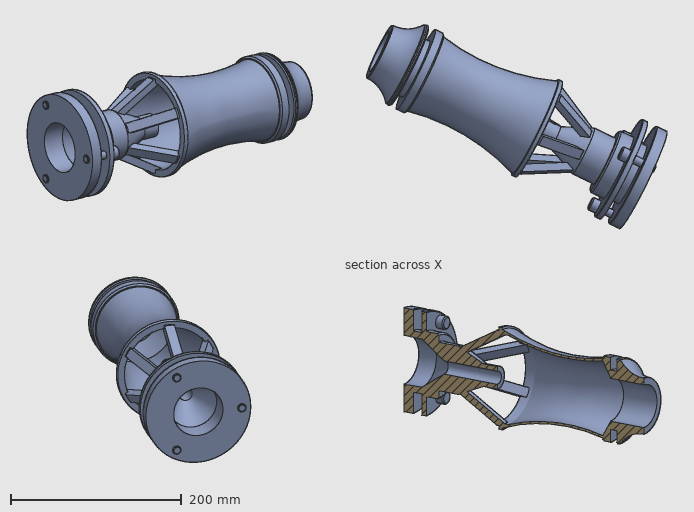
import cadquery as cq
import math


flange_radius = 127 / 2
flange_chamfer = 1.0
lower_flange_back = 14.0
upper_flange_front = 25.5
upper_flange_back = 32.5
spacer_radius = 75.38 / 2
collar_radius = 80 / 2
collar_end = 50.5
collar_chamfer = 2.0
tube_radius = 59.6 / 2
tube_end = 78.0
foot_bevel_width = 0.5
foot_bevel_length = 2.0

nozzle_radius = 28 / 2
nozzle_cone_end = 114.5
nozzle_tip = 134.5
inlet_mouth_radius = 59.6 / 2
inlet_throat_radius = 58 / 2
inlet_throat_depth = 26.0
inlet_cone_end = 58.0
nozzle_bore_radius = 15.44 / 2

bolt_count = 3
bolt_circle_radius = 52.5
bolt_radius = 10 / 2
bolt_head_radius = 16 / 2
bolt_head_end = 43.0
bolt_head_chamfer = 1.5
bolt_protrusion = 2.0
bolt_tip_chamfer = 1.0

bell_rim_radius = 125 / 2
bell_front = 136.0
bell_rim_bevel_width = 0.5
bell_rim_bevel_length = 1.7
bell_rim_side_end = 141.0
bell_rim_end = 141.7
bell_foot_radius = 60.2
bell_waist_radius = 43.4
bell_waist_position = 237.0
bell_top_radius = 48.6
bell_wall = 3.5
bell_mouth_radius = 54.0
bell_mouth_depth = 14.0

ring_radius = 104 / 2
ring_front = 285.5
ring_back = 297.0
ring_chamfer = 2.0
neck_radius = 73.18 / 2
outlet_bore_radius = 51.64 / 2
cap_front = 305.5
cap_rim_end = 310.3
cap_rim_chamfer = 1.5
cap_foot_end = 311.3
cap_end = 345.0
cap_top_radius = 34.5
cap_top_bevel_width = 0.5
cap_top_bevel_length = 1.2
cap_curve_radius = 40.0

strut_count = 6
strut_first_angle = 30.0
strut_width = 12.0
strut_start = 80.2
strut_end = 146.0
strut_trim_radius = 58.0
strut_outer_radius_at_start = 28.4
strut_radial_thickness = 10.5
strut_slope = math.tan(math.radians(29))


def revolve_about_y(profile):
    """Turn a closed (radius, y) profile into a solid about the Y axis."""
    return profile.close().revolve(360, (0, 0, 0), (0, 1, 0))


def disc(radius, start, end):
    """Cylinder on the Y axis between two axial positions."""
    return cq.Workplane("XZ", origin=(0, start, 0)).circle(radius).extrude(start - end)


def cap_radius(position):
    """Radius of the flared cap, whose arc starts parallel to the axis below the top bevel."""
    offset = position - (cap_end - cap_top_bevel_length)
    return cap_top_radius + cap_curve_radius - math.sqrt(cap_curve_radius**2 - offset**2)


def make_flanges():
    lower = disc(flange_radius, 0, lower_flange_back).faces(">Y").chamfer(flange_chamfer)
    upper = disc(flange_radius, upper_flange_front, upper_flange_back)
    upper = upper.faces(">Y").chamfer(flange_chamfer)
    return lower.union(upper)


def make_nozzle():
    profile = (
        cq.Workplane("XY")
        .moveTo(0, 0)
        .lineTo(spacer_radius + foot_bevel_width, 0)
        .lineTo(spacer_radius + foot_bevel_width, lower_flange_back)
        .lineTo(spacer_radius, lower_flange_back + foot_bevel_length)
        .lineTo(spacer_radius, upper_flange_back)
        .lineTo(collar_radius + foot_bevel_width, upper_flange_back)
        .lineTo(collar_radius, upper_flange_back + foot_bevel_length)
        .lineTo(collar_radius, collar_end - collar_chamfer)
        .lineTo(collar_radius - collar_chamfer, collar_end)
        .lineTo(tube_radius + foot_bevel_width, collar_end)
        .lineTo(tube_radius, collar_end + foot_bevel_length)
        .lineTo(tube_radius, tube_end)
        .lineTo(nozzle_radius, nozzle_cone_end)
        .lineTo(nozzle_radius, nozzle_tip)
        .lineTo(0, nozzle_tip)
    )
    return revolve_about_y(profile)


def make_nozzle_bore():
    profile = (
        cq.Workplane("XY")
        .lineTo(inlet_mouth_radius, 0)
        .lineTo(inlet_throat_radius, inlet_throat_depth)
        .lineTo(nozzle_bore_radius, inlet_cone_end)
        .lineTo(nozzle_bore_radius, nozzle_tip)
        .lineTo(0, nozzle_tip)
    )
    return revolve_about_y(profile)


def make_bolt():
    shank = disc(bolt_radius, -bolt_protrusion, upper_flange_back).faces("<Y").chamfer(bolt_tip_chamfer)
    head = disc(bolt_head_radius, upper_flange_back, bolt_head_end).faces(">Y").chamfer(bolt_head_chamfer)
    return shank.union(head).translate((bolt_circle_radius, 0, 0))


def make_bell_outside():
    """Solid envelope of the bell, ring, neck and cap."""
    cap_curve_end = cap_end - cap_top_bevel_length
    cap_middle = (cap_foot_end + cap_curve_end) / 2
    profile = (
        cq.Workplane("XY")
        .moveTo(0, bell_front)
        .lineTo(bell_rim_radius - bell_rim_bevel_width, bell_front)
        .lineTo(bell_rim_radius, bell_front + bell_rim_bevel_length)
        .lineTo(bell_rim_radius, bell_rim_side_end)
        .lineTo(bell_foot_radius, bell_rim_end)
        .spline(
            [(bell_waist_radius, bell_waist_position), (bell_top_radius, ring_front)],
            includeCurrent=True,
        )
        .lineTo(ring_radius - ring_chamfer, ring_front)
        .lineTo(ring_radius, ring_front + ring_chamfer)
        .lineTo(ring_radius, ring_back)
        .lineTo(neck_radius, ring_back)
        .lineTo(neck_radius, cap_front)
        .lineTo(ring_radius - cap_rim_chamfer, cap_front)
        .lineTo(ring_radius, cap_front + cap_rim_chamfer)
        .lineTo(ring_radius, cap_rim_end - cap_rim_chamfer)
        .lineTo(ring_radius - cap_rim_chamfer, cap_rim_end)
        .lineTo(cap_radius(cap_foot_end), cap_foot_end)
        .threePointArc((cap_radius(cap_middle), cap_middle), (cap_top_radius, cap_curve_end))
        .lineTo(cap_top_radius - cap_top_bevel_width, cap_end)
        .lineTo(0, cap_end)
    )
    return revolve_about_y(profile)


def make_bell_inside():
    """Hollow of the bell, open at both ends."""
    mouth_end = bell_front + bell_mouth_depth
    profile = (
        cq.Workplane("XY")
        .moveTo(0, bell_front)
        .lineTo(bell_mouth_radius, bell_front)
        .lineTo(bell_mouth_radius, mouth_end)
        .spline(
            [
                (bell_waist_radius - bell_wall, bell_waist_position),
                (bell_top_radius - bell_wall, ring_front),
            ],
            includeCurrent=True,
        )
        .lineTo(outlet_bore_radius, ring_back)
        .lineTo(outlet_bore_radius, cap_end)
        .lineTo(0, cap_end)
    )
    return revolve_about_y(profile)


def make_strut():
    """Bar on the +X side, leaning outward toward the bell rim and trimmed by a cylinder."""
    rise = (strut_end - strut_start) * strut_slope
    outer_start = strut_outer_radius_at_start
    inner_start = outer_start - strut_radial_thickness
    bar = (
        cq.Workplane("XY")
        .polyline(
            [
                (outer_start, strut_start),
                (outer_start + rise, strut_end),
                (inner_start + rise, strut_end),
                (inner_start, strut_start),
            ]
        )
        .close()
        .extrude(strut_width / 2, both=True)
    )
    return bar.intersect(disc(strut_trim_radius, strut_start, strut_end))


def around_axis(shape, count, first_angle):
    """Copies of a shape spaced evenly about the Y axis."""
    step = 360 / count
    copies = [shape.rotate((0, 0, 0), (0, 1, 0), first_angle + step * i) for i in range(count)]
    joined = copies[0]
    for copy in copies[1:]:
        joined = joined.union(copy)
    return joined


inlet = make_nozzle().union(make_flanges())
inlet = inlet.union(around_axis(make_bolt(), bolt_count, 0))
struts = around_axis(make_strut(), strut_count, strut_first_angle)
inlet = inlet.union(struts).cut(make_nozzle_bore())
bell = make_bell_outside().cut(make_bell_inside())
result = inlet.union(bell)